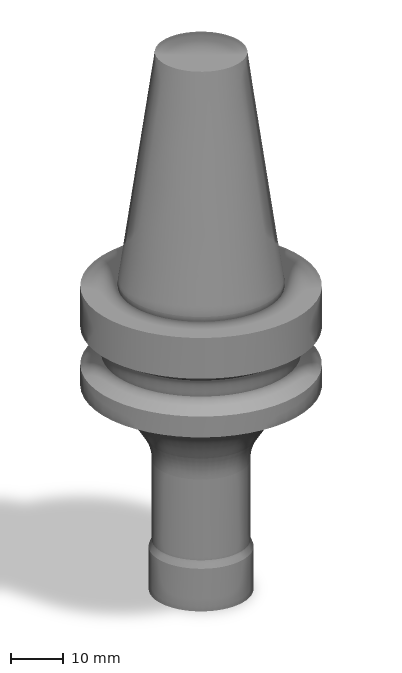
import cadquery as cq
import math


gauge_diameter = 31.75
taper_length = 48.4
taper_ratio = 7 / 24
taper_tip_diameter = gauge_diameter - taper_length * taper_ratio

flange_diameter = 46.0
flange_top_z = -1.0
flange_bottom_z = -22.0
groove_root_diameter = 38.0
groove_center_z = -13.6
groove_mouth_width = 8.0
groove_wall_angle = 30.0

neck_diameter = 18.8
collar_diameter = 20.0
nose_z = -65.0
collar_height = 9.0
collar_shoulder_height = 1.5

neck_blend_radius = 10.0
neck_blend_end_angle = 31.0
flare_radius = 55.0
flare_end_angle = 43.0
flange_fillet_radius = 3.5
flange_fillet_end_angle = 90.0
flare_arcs = [
    (neck_blend_radius, neck_blend_end_angle),
    (flare_radius, flare_end_angle),
    (flange_fillet_radius, flange_fillet_end_angle),
]


def advance(radius, start_angle, end_angle):
    """Radial and axial travel along a concave arc between two tangent angles."""
    start = math.radians(start_angle)
    end = math.radians(end_angle)
    radial = radius * (math.cos(start) - math.cos(end))
    axial = radius * (math.sin(end) - math.sin(start))
    return radial, axial


def flare_height():
    """Total axial height of the tangent arcs."""
    height = 0.0
    start_angle = 0.0
    for radius, end_angle in flare_arcs:
        height += advance(radius, start_angle, end_angle)[1]
        start_angle = end_angle
    return height


def add_flare(profile, r, z):
    """Continue the profile from (r, z) on the neck up to the flange underside."""
    start_angle = 0.0
    for radius, end_angle in flare_arcs:
        middle_angle = (start_angle + end_angle) / 2
        middle_dr, middle_dz = advance(radius, start_angle, middle_angle)
        dr, dz = advance(radius, start_angle, end_angle)
        profile = profile.threePointArc((r + middle_dr, z + middle_dz), (r + dr, z + dz))
        r += dr
        z += dz
        start_angle = end_angle
    return profile


def make_body():
    """Half profile of the holder in the XZ plane, revolved about Z."""
    neck_radius = neck_diameter / 2
    collar_radius = collar_diameter / 2
    flange_radius = flange_diameter / 2
    gauge_radius = gauge_diameter / 2
    collar_top_z = nose_z + collar_height
    neck_top_z = flange_bottom_z - flare_height()

    profile = (
        cq.Workplane("XZ")
        .moveTo(0, nose_z)
        .lineTo(collar_radius, nose_z)
        .lineTo(collar_radius, collar_top_z)
        .lineTo(neck_radius, collar_top_z + collar_shoulder_height)
        .lineTo(neck_radius, neck_top_z)
    )
    profile = add_flare(profile, neck_radius, neck_top_z)
    profile = (
        profile.lineTo(flange_radius, flange_bottom_z)
        .lineTo(flange_radius, flange_top_z)
        .lineTo(gauge_radius, flange_top_z)
        .lineTo(gauge_radius, 0)
        .lineTo(taper_tip_diameter / 2, taper_length)
        .lineTo(0, taper_length)
        .close()
    )
    return profile.revolve(360, (0, 0, 0), (0, 1, 0))


def make_groove():
    """Ring with a trapezoidal section, to be cut from the flange rim."""
    root_radius = groove_root_diameter / 2
    mouth_radius = flange_diameter / 2
    wall_rise = (mouth_radius - root_radius) * math.tan(math.radians(groove_wall_angle))
    mouth_half = groove_mouth_width / 2
    root_half = mouth_half - wall_rise
    section = cq.Workplane("XZ").polyline([
        (root_radius, groove_center_z - root_half),
        (mouth_radius, groove_center_z - mouth_half),
        (mouth_radius, groove_center_z + mouth_half),
        (root_radius, groove_center_z + root_half),
    ]).close()
    return section.revolve(360, (0, 0, 0), (0, 1, 0))


result = make_body().cut(make_groove())